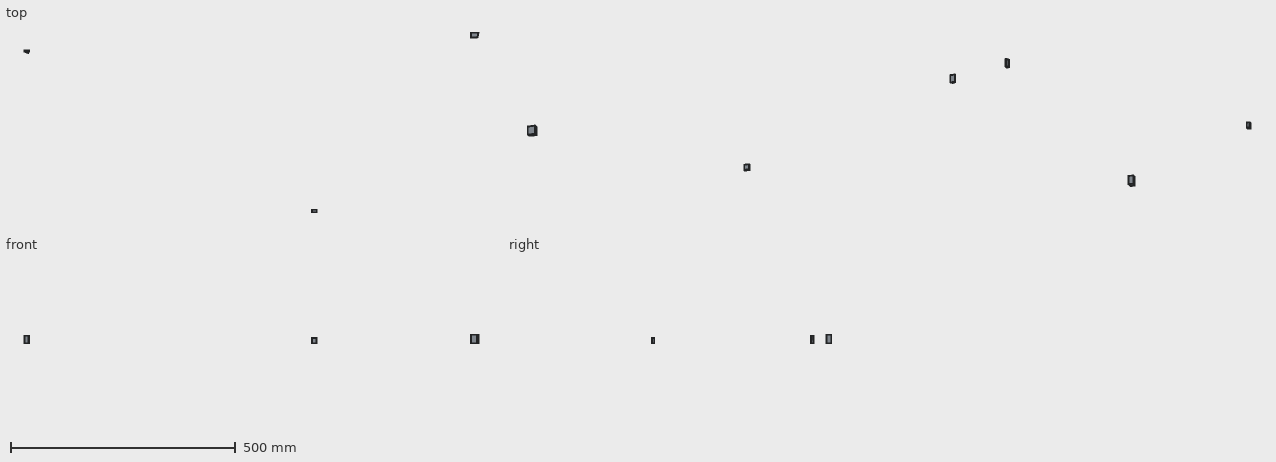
import cadquery as cq

WEDGE_BACK = 361.0
WEDGE_LENGTH = 11.0
WEDGE_LEFT_SIDE = 3.0
WEDGE_DEPTH = 6.0
WEDGE_CORNER_X = 8.0
WEDGE_HEIGHT = 17.0

MIDDLE_LEFT = 639.0
MIDDLE_LENGTH = 11.0
MIDDLE_DEPTH = 6.0
MIDDLE_BEVEL = 1.0
MIDDLE_HEIGHT = 12.0

TOTAL_LENGTH = 1010.0
TOTAL_DEPTH = 400.0
RIGHT_LENGTH = 17.0
RIGHT_DEPTH = 11.0
RIGHT_HEIGHT = 19.0
RIGHT_LEAN = 2.0
RIGHT_BEVEL_LENGTH = 2.0
RIGHT_BEVEL_DEPTH = 1.0


def make_prism(outline, height):
    """Extrude a closed XY outline upward from the ground plane."""
    return cq.Workplane("XY").polyline(outline).close().extrude(height)


def make_wedge():
    outline = [
        (0, WEDGE_BACK),
        (0, WEDGE_BACK - WEDGE_LEFT_SIDE),
        (WEDGE_CORNER_X, WEDGE_BACK - WEDGE_DEPTH),
        (WEDGE_LENGTH, WEDGE_BACK),
    ]
    return make_prism(outline, WEDGE_HEIGHT)


def make_middle_block():
    right = MIDDLE_LEFT + MIDDLE_LENGTH
    outline = [
        (MIDDLE_LEFT, 0),
        (right - MIDDLE_BEVEL, 0),
        (right, MIDDLE_BEVEL),
        (right, MIDDLE_DEPTH),
        (MIDDLE_LEFT, MIDDLE_DEPTH),
    ]
    return make_prism(outline, MIDDLE_HEIGHT)


def make_right_block():
    left = TOTAL_LENGTH - RIGHT_LENGTH
    front = TOTAL_DEPTH - RIGHT_DEPTH
    bevel_right = TOTAL_LENGTH - RIGHT_LEAN
    outline = [
        (left, front),
        (bevel_right - RIGHT_BEVEL_LENGTH, front),
        (bevel_right, front + RIGHT_BEVEL_DEPTH),
        (TOTAL_LENGTH, TOTAL_DEPTH),
        (left, TOTAL_DEPTH),
    ]
    return make_prism(outline, RIGHT_HEIGHT)


wedge = make_wedge()
middle_block = make_middle_block()
right_block = make_right_block()
result = cq.Compound.makeCompound([wedge.val(), middle_block.val(), right_block.val()])